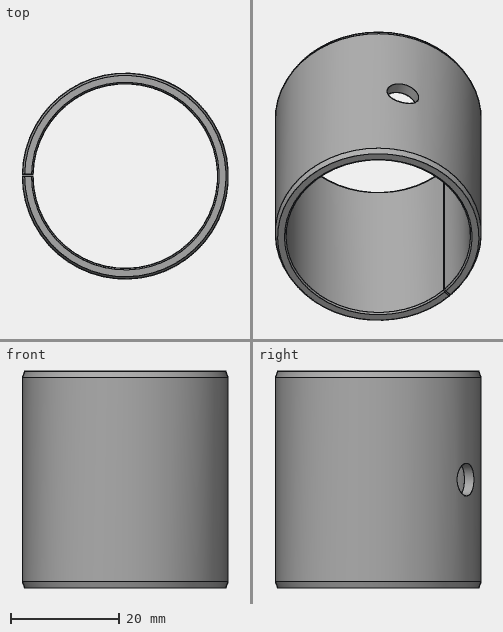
import cadquery as cq
import math

outer_diameter = 38.0
wall_thickness = 2.0
length = 40.0

outer_chamfer_length = 1.2
outer_chamfer_angle = 20.0
inner_chamfer = 0.3

joint_face_angle = 180.0
joint_gap_angle = 1.0

oil_hole_diameter = 6.0
joint_to_oil_hole_angle = 120.0

outer_radius = outer_diameter / 2
inner_radius = outer_radius - wall_thickness
half_length = length / 2
outer_chamfer_depth = outer_chamfer_length * math.tan(math.radians(outer_chamfer_angle))
wrap_angle = 360.0 - joint_gap_angle
oil_hole_angle = joint_face_angle - joint_gap_angle - joint_to_oil_hole_angle


def turn_about_axis(body, angle):
    """Turn a body about the bush axis, from +X towards +Y."""
    return body.rotate((0, 0, 0), (0, 0, 1), angle)


def make_split_sleeve():
    """Revolve the chamfered wall section almost full circle, leaving the joint gap."""
    section = (
        cq.Workplane("XZ")
        .moveTo(inner_radius, -half_length + inner_chamfer)
        .lineTo(inner_radius + inner_chamfer, -half_length)
        .lineTo(outer_radius - outer_chamfer_depth, -half_length)
        .lineTo(outer_radius, -half_length + outer_chamfer_length)
        .lineTo(outer_radius, half_length - outer_chamfer_length)
        .lineTo(outer_radius - outer_chamfer_depth, half_length)
        .lineTo(inner_radius + inner_chamfer, half_length)
        .lineTo(inner_radius, half_length - inner_chamfer)
        .close()
    )
    sleeve = section.revolve(wrap_angle, (0, 0, 0), (0, 1, 0))
    return turn_about_axis(sleeve, joint_face_angle)


def make_oil_hole_cutter():
    """Radial cylinder from the axis out past the outer surface."""
    cutter = cq.Workplane("YZ").circle(oil_hole_diameter / 2).extrude(outer_diameter)
    return turn_about_axis(cutter, oil_hole_angle)


result = make_split_sleeve().cut(make_oil_hole_cutter())